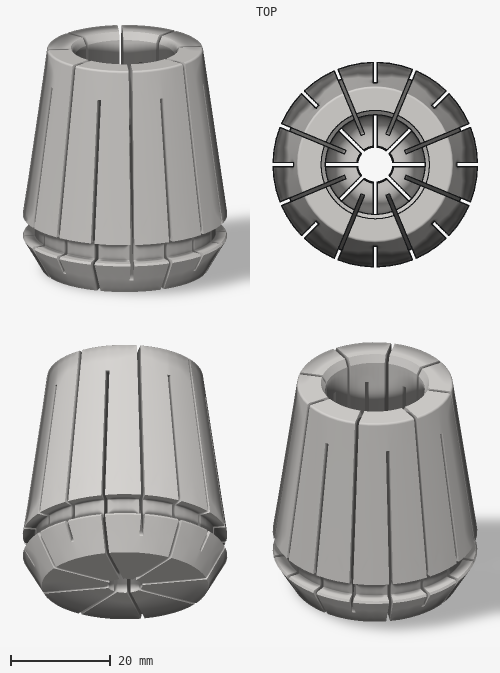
import cadquery as cq
import math

length = 46.0
max_diameter = 41.0
max_radius = max_diameter / 2

nose_cone_height = 6.6
nose_half_angle = 30.0
lip_height = 0.45
lip_half_angle = 30.0
groove_bottom = nose_cone_height + lip_height
groove_top = 11.05
groove_radius = 18.12
groove_fillet = 0.2
body_half_angle = 8.0
top_edge_round = 0.45

nose_radius = max_radius - nose_cone_height * math.tan(math.radians(nose_half_angle))
lip_radius = max_radius - lip_height * math.tan(math.radians(lip_half_angle))
top_radius = max_radius - (length - groove_top) * math.tan(math.radians(body_half_angle))

bore_radius = 3.5
bore_chamfer = 0.25
relief_radius = 10.0
relief_floor = 28.5
relief_fillet = 2.0
mouth_radius = 10.85
mouth_half_angle = 30.0
mouth_depth = (mouth_radius - relief_radius) / math.tan(math.radians(mouth_half_angle))

slot_width = 0.8
slots_per_set = 8
slot_pitch = 360 / slots_per_set
lower_slot_top = 40.0
upper_slot_inner_radius = 6.5
upper_slot_floor_angle = 65.0


def collet_blank():
    """Revolve the outer profile and round the top outer edge."""
    blank = (
        cq.Workplane("XZ")
        .moveTo(0, 0)
        .lineTo(nose_radius, 0)
        .lineTo(max_radius, nose_cone_height)
        .lineTo(lip_radius, groove_bottom)
        .lineTo(groove_radius + groove_fillet, groove_bottom)
        .tangentArcPoint((groove_radius, groove_bottom + groove_fillet), relative=False)
        .lineTo(groove_radius, groove_top - groove_fillet)
        .tangentArcPoint((groove_radius + groove_fillet, groove_top), relative=False)
        .lineTo(max_radius, groove_top)
        .lineTo(top_radius, length)
        .lineTo(0, length)
        .close()
        .revolve(360, (0, 0), (0, 1))
    )
    return blank.faces(">Z").edges().fillet(top_edge_round)


def stepped_bore():
    """Solid of the bore, the filleted relief above it and the conical mouth."""
    return (
        cq.Workplane("XZ")
        .moveTo(0, 0)
        .lineTo(bore_radius, 0)
        .lineTo(bore_radius, relief_floor - bore_chamfer)
        .lineTo(bore_radius + bore_chamfer, relief_floor)
        .lineTo(relief_radius - relief_fillet, relief_floor)
        .tangentArcPoint((relief_radius, relief_floor + relief_fillet), relative=False)
        .lineTo(relief_radius, length - mouth_depth)
        .lineTo(mouth_radius, length)
        .lineTo(0, length)
        .close()
        .revolve(360, (0, 0), (0, 1))
    )


def radial_slot(inner_radius, inner_bottom, top, fall_angle, turn):
    """Radial slot whose floor falls outward, reaching past the outside, turned about Z."""
    outer_radius = max_diameter
    floor_drop = (outer_radius - inner_radius) * math.tan(math.radians(fall_angle))
    blade = (
        cq.Workplane("XZ")
        .moveTo(inner_radius, inner_bottom)
        .lineTo(outer_radius, inner_bottom - floor_drop)
        .lineTo(outer_radius, top)
        .lineTo(inner_radius, top)
        .close()
        .extrude(slot_width / 2, both=True)
    )
    return blade.rotate((0, 0, 0), (0, 0, 1), turn)


result = collet_blank().cut(stepped_bore())
for index in range(slots_per_set):
    lower_turn = index * slot_pitch
    upper_turn = lower_turn + slot_pitch / 2
    lower_slot = radial_slot(0, 0, lower_slot_top, 0, lower_turn)
    upper_slot = radial_slot(
        upper_slot_inner_radius, relief_floor, length, upper_slot_floor_angle, upper_turn
    )
    result = result.cut(lower_slot).cut(upper_slot)